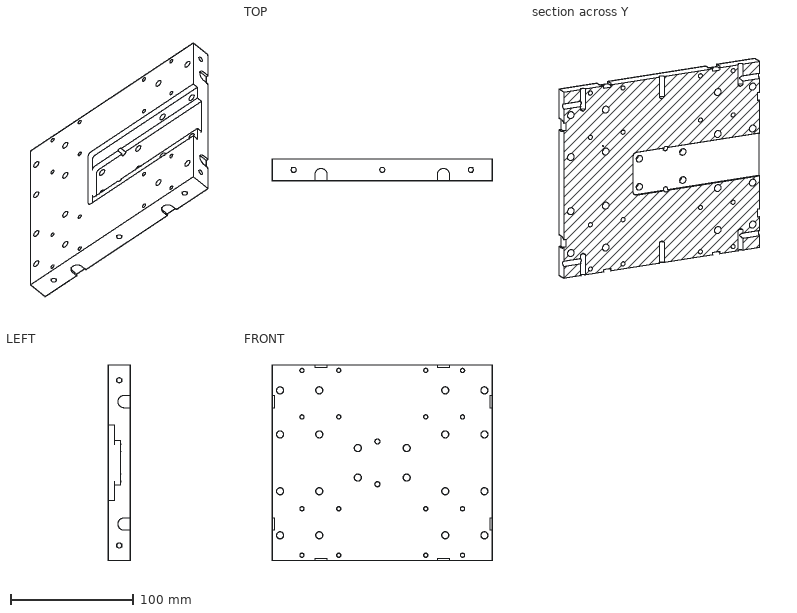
import cadquery as cq
import math

LENGTH = 180.0
THICKNESS = 18.0
HEIGHT = 160.0

MOUNT_DIA = 5.5
MOUNT_CENTER_X = 67.5
MOUNT_CENTER_Z = 41.2
MOUNT_PITCH_X = 32.0
MOUNT_PITCH_Z = 36.0

RAIL_DIA = 3.2
RAIL_CENTER_X = 50.5
RAIL_CENTER_Z = 56.5
RAIL_PITCH_X = 30.0
RAIL_PITCH_Z = 38.0

NUT_DIA = 5.5
NUT_X = 20.0
NUT_Z = 12.0

DOWEL_DIA = 4.0
DOWEL_X = -4.0
DOWEL_Z = 17.5

EDGE_HOLE_DIA = 4.1
DRILL_POINT_ANGLE = 118.0
TOP_HOLE_X = 72.4
SIDE_HOLE_Z = 67.5
EDGE_HOLE_DEPTH = LENGTH / 2 - TOP_HOLE_X

NOTCH_WIDTH = 10.0
NOTCH_DEPTH = 2.0
NOTCH_OFFSET = 50.0
NOTCH_REACH = NOTCH_WIDTH

SHALLOW_DEPTH = 5.0
SHALLOW_WIDTH = 62.0
DEEP_DEPTH = 2 * SHALLOW_DEPTH
DEEP_WIDTH = 36.4
POCKET_CORNER_RADIUS = 3.0
POCKET_END_X = NUT_X + DEEP_WIDTH / 2 - NUT_Z

FRONT_Y = -THICKNESS / 2
BACK_Y = THICKNESS / 2


def mirrored(*offsets):
    """Each offset on both sides of zero."""
    return [sign * offset for offset in offsets for sign in (-1, 1)]


def pair(center, pitch):
    """Two positions one pitch apart, around a center."""
    return center - pitch / 2, center + pitch / 2


def grid(xs, zs):
    return [(x, z) for x in xs for z in zs]


def through_holes(points, diameter):
    """Cylinders along Y through the whole plate at (x, z) points."""
    back = cq.Workplane("XZ", origin=(0, BACK_Y, 0))
    return back.pushPoints(points).circle(diameter / 2).extrude(THICKNESS)


def drilled_hole():
    """Hole cutter going down -Z from the origin, ending in a drill point."""
    radius = EDGE_HOLE_DIA / 2
    tip_depth = EDGE_HOLE_DEPTH + radius / math.tan(math.radians(DRILL_POINT_ANGLE / 2))
    half_section = [(0, 0), (radius, 0), (radius, -EDGE_HOLE_DEPTH), (0, -tip_depth)]
    profile = cq.Workplane("XZ").polyline(half_section).close()
    return profile.revolve(360, (0, 0, 0), (0, 1, 0)).val()


def side_cutters(half_size, hole_offsets):
    """Notch and drilled hole cutters for a side facing +Z at half_size; offsets run along X."""
    side = cq.Workplane("XY", origin=(0, 0, half_size))
    hole_points = [(offset, 0) for offset in hole_offsets]
    holes = side.pushPoints(hole_points).eachpoint(drilled_hole(), combine=False)
    notches = (
        side.pushPoints([(offset, FRONT_Y) for offset in mirrored(NOTCH_OFFSET)])
        .slot2D(2 * NOTCH_REACH, NOTCH_WIDTH, 90)
        .extrude(-NOTCH_DEPTH)
    )
    return holes.add(notches).combine()


def pocket_step(width, depth):
    """One step of the back pocket, with its two closed corners rounded."""
    length = POCKET_END_X + LENGTH / 2
    return (
        cq.Workplane("XY")
        .box(length, depth, width)
        .edges("|Y and >X")
        .fillet(POCKET_CORNER_RADIUS)
        .translate((POCKET_END_X - length / 2, BACK_Y - depth / 2, 0))
    )


plate = cq.Workplane("XY").box(LENGTH, THICKNESS, HEIGHT)

plate = plate.cut(pocket_step(SHALLOW_WIDTH, SHALLOW_DEPTH))
plate = plate.cut(pocket_step(DEEP_WIDTH, DEEP_DEPTH))

mount_points = grid(
    mirrored(*pair(MOUNT_CENTER_X, MOUNT_PITCH_X)),
    mirrored(*pair(MOUNT_CENTER_Z, MOUNT_PITCH_Z)),
)
rail_points = grid(
    mirrored(*pair(RAIL_CENTER_X, RAIL_PITCH_X)),
    mirrored(*pair(RAIL_CENTER_Z, RAIL_PITCH_Z)),
)
plate = plate.cut(through_holes(mount_points, MOUNT_DIA))
plate = plate.cut(through_holes(rail_points, RAIL_DIA))
plate = plate.cut(through_holes(grid(mirrored(NUT_X), mirrored(NUT_Z)), NUT_DIA))
plate = plate.cut(through_holes(grid([DOWEL_X], mirrored(DOWEL_Z)), DOWEL_DIA))

top_cutters = side_cutters(HEIGHT / 2, [0, *mirrored(TOP_HOLE_X)])
end_cutters = side_cutters(LENGTH / 2, mirrored(SIDE_HOLE_Z)).rotate((0, 0, 0), (0, 1, 0), 90)
for cutters in (top_cutters, end_cutters):
    plate = plate.cut(cutters)
    plate = plate.cut(cutters.rotate((0, 0, 0), (0, 1, 0), 180))

result = cq.Workplane("XY").newObject([plate.solids().val()])